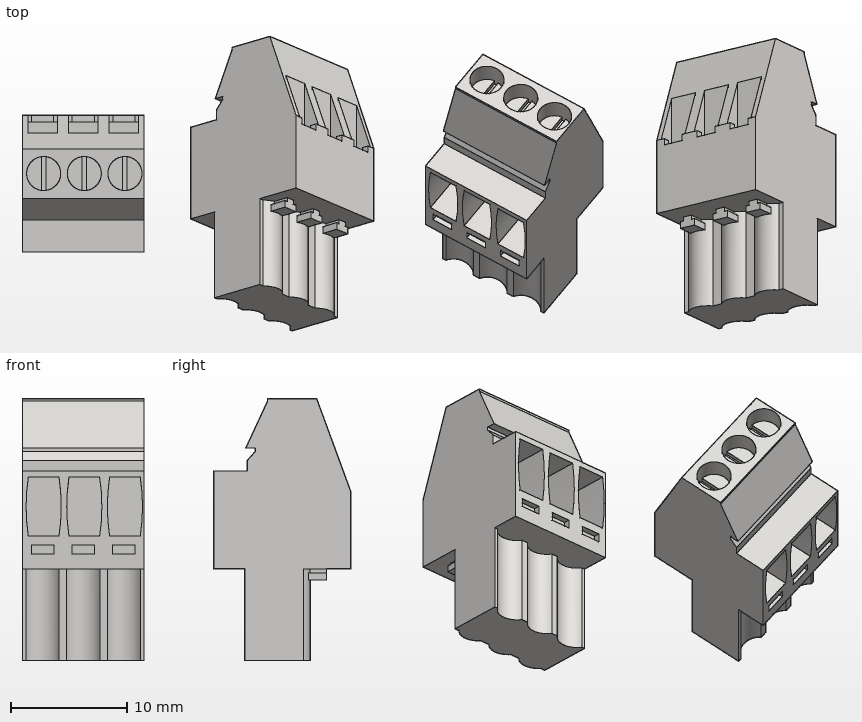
import cadquery as cq

WIDTH = 10.5
DEPTH = 11.82
HEIGHT = 22.6

POLE_COUNT = 3
POLE_PITCH = 3.5
POLE_CENTRES = [(i - (POLE_COUNT - 1) / 2) * POLE_PITCH for i in range(POLE_COUNT)]
ENTRY_OFFSET = 0.1

BLOCK_BOTTOM = 7.9
SHELF_TOP = 16.36
SHELF_DEPTH = 2.9
GROOVE_CHAMFER_BOTTOM = 17.27
GROOVE_CHAMFER_TOP = 18.03
GROOVE_FLOOR_Y = 3.57
GROOVE_TOP = 18.33
LIP_Y = 2.75
TOP_FRONT_Y = 4.63
TOP_BACK_Y = 8.88
TOP_FRONT_LAND = 0.23
BACK_SLOPE_BOTTOM = 14.6

PLUG_FRONT_Y = 2.67
PLUG_BACK_Y = 7.75
FLUTE_WIDTH = 2.85
FLUTE_DEPTH = 0.77
LOBE_WIDTH = 2.58
LOBE_HEIGHT = 0.59

KEY_BACK_Y = 9.75
KEY_HEAD_WIDTH = 1.5
KEY_NECK_WIDTH = 0.85
KEY_NECK_HEIGHT = 0.36
KEY_HEAD_HEIGHT = 0.6

SLOT_HEAD_WIDTH = 2.53
SLOT_NECK_WIDTH = 1.9
SLOT_NECK_DEPTH = 0.6
SLOT_DEPTH = 1.54
SLOT_NECK_DROP = 0.56
SLOT_HEAD_DROP = 1.13

OPENING_BOTTOM = 10.74
OPENING_TOP = 15.82
OPENING_END_WIDTH = 2.65
OPENING_MIDDLE_WIDTH = 3.03
OPENING_DEPTH = 3.4
TEST_SLOT_WIDTH = 1.92
TEST_SLOT_BOTTOM = 9.2
TEST_SLOT_HEIGHT = 0.77
TEST_SLOT_DEPTH = 0.55

SCREW_RADIUS = 1.47
SCREW_Y = 6.78
SCREW_RECESS = 1.9
SCREW_LENGTH = 1.35
SCREW_SLOT_WIDTH = 0.38
SCREW_SLOT_DEPTH = 0.45


def box(x_centre, x_size, y_min, y_max, z_min, z_max):
    """Box centred on x_centre and spanning the given Y and Z ranges."""
    size = (x_size, y_max - y_min, z_max - z_min)
    corner = (x_centre - x_size / 2, y_min, z_min)
    return cq.Workplane("XY").box(*size, centered=False).translate(corner)


def make_block():
    """Upper terminal block, extruded across the full width."""
    outline = [
        (0, BLOCK_BOTTOM),
        (0, SHELF_TOP),
        (SHELF_DEPTH, SHELF_TOP),
        (SHELF_DEPTH, GROOVE_CHAMFER_BOTTOM),
        (GROOVE_FLOOR_Y, GROOVE_CHAMFER_TOP),
        (GROOVE_FLOOR_Y, GROOVE_TOP),
        (LIP_Y, GROOVE_TOP),
        (TOP_FRONT_Y, HEIGHT - TOP_FRONT_LAND),
        (TOP_FRONT_Y, HEIGHT),
        (TOP_BACK_Y, HEIGHT),
        (DEPTH, BACK_SLOPE_BOTTOM),
        (DEPTH, BLOCK_BOTTOM),
    ]
    return cq.Workplane("YZ").polyline(outline).close().extrude(WIDTH / 2, both=True)


def make_plug():
    """Lower plug with a concave flute in front and a convex lobe behind at each pole."""
    outline = cq.Workplane("XY").moveTo(-WIDTH / 2, PLUG_FRONT_Y)
    for x in POLE_CENTRES:
        outline = outline.lineTo(x - FLUTE_WIDTH / 2, PLUG_FRONT_Y).threePointArc(
            (x, PLUG_FRONT_Y + FLUTE_DEPTH), (x + FLUTE_WIDTH / 2, PLUG_FRONT_Y)
        )
    outline = outline.lineTo(WIDTH / 2, PLUG_FRONT_Y).lineTo(WIDTH / 2, PLUG_BACK_Y)
    for x in reversed(POLE_CENTRES):
        outline = outline.lineTo(x + LOBE_WIDTH / 2, PLUG_BACK_Y).threePointArc(
            (x, PLUG_BACK_Y + LOBE_HEIGHT), (x - LOBE_WIDTH / 2, PLUG_BACK_Y)
        )
    return outline.lineTo(-WIDTH / 2, PLUG_BACK_Y).close().extrude(BLOCK_BOTTOM)


def make_coding_key(x):
    """T-shaped key under the block, joined to the back of the plug."""
    neck_bottom = BLOCK_BOTTOM - KEY_NECK_HEIGHT
    head_bottom = neck_bottom - KEY_HEAD_HEIGHT
    neck = box(x, KEY_NECK_WIDTH, PLUG_BACK_Y, KEY_BACK_Y, neck_bottom, BLOCK_BOTTOM)
    head = box(x, KEY_HEAD_WIDTH, PLUG_BACK_Y, KEY_BACK_Y, head_bottom, neck_bottom)
    return neck.union(head)


def make_coding_slot(x):
    """Notch in the sloping back, with a T-shaped slot sunk in its floor, deepest at the head of the T."""
    step_z = BACK_SLOPE_BOTTOM
    slot_front_y = DEPTH - SLOT_DEPTH
    head_back_y = DEPTH - SLOT_NECK_DEPTH
    notch = box(x, SLOT_HEAD_WIDTH, slot_front_y, DEPTH, step_z, HEIGHT)
    head = box(x, SLOT_HEAD_WIDTH, slot_front_y, head_back_y, step_z - SLOT_HEAD_DROP, step_z)
    neck = box(x, SLOT_NECK_WIDTH, head_back_y, DEPTH, step_z - SLOT_NECK_DROP, step_z)
    return notch.union(head).union(neck)


def make_wire_opening(x):
    """Wire entry with flat ends and bowed sides."""
    middle_z = (OPENING_BOTTOM + OPENING_TOP) / 2
    half_end = OPENING_END_WIDTH / 2
    half_middle = OPENING_MIDDLE_WIDTH / 2
    return (
        cq.Workplane("XZ")
        .moveTo(x - half_end, OPENING_BOTTOM)
        .lineTo(x + half_end, OPENING_BOTTOM)
        .threePointArc((x + half_middle, middle_z), (x + half_end, OPENING_TOP))
        .lineTo(x - half_end, OPENING_TOP)
        .threePointArc((x - half_middle, middle_z), (x - half_end, OPENING_BOTTOM))
        .close()
        .extrude(-OPENING_DEPTH)
    )


def make_test_slot(x):
    """Shallow rectangular test slot below a wire opening."""
    top = TEST_SLOT_BOTTOM + TEST_SLOT_HEIGHT
    return box(x, TEST_SLOT_WIDTH, 0, TEST_SLOT_DEPTH, TEST_SLOT_BOTTOM, top)


def make_screw_hole(x):
    """Blind hole that holds a recessed screw."""
    depth = SCREW_RECESS + SCREW_LENGTH
    return cq.Workplane("XY", origin=(x, SCREW_Y, HEIGHT)).circle(SCREW_RADIUS).extrude(-depth)


def make_housing():
    """One-piece housing: block, plug and keys, with all openings cut."""
    housing = make_block().union(make_plug())
    for x in POLE_CENTRES:
        housing = housing.union(make_coding_key(x))
    for x in POLE_CENTRES:
        housing = housing.cut(make_coding_slot(x))
        housing = housing.cut(make_test_slot(x))
        housing = housing.cut(make_wire_opening(x + ENTRY_OFFSET))
        housing = housing.cut(make_screw_hole(x + ENTRY_OFFSET))
    return housing


def make_screw(x):
    """Cylindrical screw with a straight driver slot across its top."""
    top = HEIGHT - SCREW_RECESS
    body = cq.Workplane("XY", origin=(x, SCREW_Y, top)).circle(SCREW_RADIUS).extrude(-SCREW_LENGTH)
    slot_ends = (SCREW_Y - SCREW_RADIUS, SCREW_Y + SCREW_RADIUS)
    return body.cut(box(x, SCREW_SLOT_WIDTH, *slot_ends, top - SCREW_SLOT_DEPTH, top))


housing = make_housing()
screws = [make_screw(x + ENTRY_OFFSET) for x in POLE_CENTRES]

result = cq.Compound.makeCompound([housing.val(), *[screw.val() for screw in screws]])